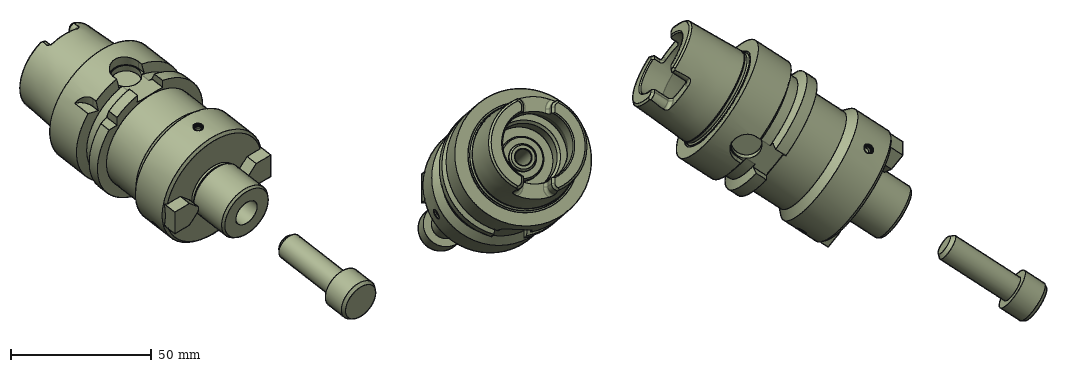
import cadquery as cq
import math


TAPER_NOSE_RADIUS = 18.0
TAPER_LARGE_RADIUS = 19.1
TAPER_END = 23.0
NOSE_CHAMFER_LENGTH = 0.7
NOSE_CHAMFER_HEIGHT = 0.8
NECK_RADIUS = 18.8
NECK_START = 23.5
NECK_END = 24.5
FACE_GROOVE_INNER_RADIUS = 19.5
FACE_GROOVE_OUTER_RADIUS = 20.1
FACE_GROOVE_DEPTH = 0.5

FLANGE_DIAMETER = 50.0
FLANGE_RADIUS = FLANGE_DIAMETER / 2
FLANGE_START = 24.9
FLANGE_END = 50.8
GROOVE_RADIUS = 21.5
GROOVE_START = 39.5
GROOVE_END = 46.4
GROOVE_SIDE_LENGTH = 1.5

BODY_DIAMETER = 41.4
BODY_RADIUS = BODY_DIAMETER / 2
BODY_END = 66.8
HEAD_RADIUS = 23.6
HEAD_START = 69.8
HEAD_END = 85.3
HEAD_CHAMFER = 1.0
SPIGOT_DIAMETER = 22.0
SPIGOT_RADIUS = SPIGOT_DIAMETER / 2
SPIGOT_END = 103.1
SPIGOT_CHAMFER_LENGTH = 1.0
SPIGOT_CHAMFER_HEIGHT = 0.7
RELIEF_RADIUS = 10.4
RELIEF_END = 86.3
RELIEF_CONE_LENGTH = 0.8

BORE_RADIUS = 12.9
BORE_MOUTH_RADIUS = 13.4
BORE_MOUTH_DEPTH = 0.5
UNDERCUT_START = 9.5
UNDERCUT_RADIUS = 15.3
UNDERCUT_END = 21.5
INNER_BORE_RADIUS = 11.9
INNER_BORE_END = 29.7
BOSS_DIAMETER = 16.0
BOSS_RADIUS = BOSS_DIAMETER / 2
BOSS_CHAMFER = 0.5
BOSS_HEIGHT = 3.3
BOSS_TIP_DIAMETER = 10.0
BOSS_TIP_RADIUS = BOSS_TIP_DIAMETER / 2
BOSS_TIP_CHAMFER = 0.7
BOSS_TIP_HEIGHT = 1.6

PASSAGE_MOUTH_DIAMETER = 6.5
PASSAGE_DIAMETER = 6.0
SPIGOT_HOLE_DEPTH = 33.0

NOSE_SLOT_HALF_WIDTH = 5.1
NOSE_SLOT_FLARE_RADIUS = 2.6
NOSE_SLOT_FLARE_START = 13.9
NOSE_SLOT_CORNER_RADIUS = 1.4
NOSE_SLOT_RIM_CHAMFER = 1.0
UPPER_NOSE_SLOT_DEPTH = 4.6
LOWER_NOSE_SLOT_DEPTH = 8.2

KEYWAY_WIDTH = 11.9
KEYWAY_FLOOR = 21.0
KEYWAY_END_CENTER = 37.8
POCKET_DIAMETER = 11.0
POCKET_DEPTH = 2.6
NOTCH_CORNER = 15.7

RADIAL_HOLE_COUNT = 3
RADIAL_HOLE_X = 76.9
RADIAL_HOLE_MOUTH_DIAMETER = 4.0
RADIAL_HOLE_DIAMETER = 3.5
RADIAL_HOLE_DEPTH = 0.8
SOCKET_MOUTH_DIAMETER = 3.0
SOCKET_DIAMETER = 2.5
SOCKET_DEPTH = 1.3
SOCKET_POINT_DEPTH = 0.7

KEY_WIDTH = 10.5
KEY_LENGTH = 5.0
KEY_OUTER_REACH = 22.8
KEY_INNER_REACH = 11.5
KEY_BEVEL = 4.3
KEY_EMBED = 1.3

SCREW_TIP = 124.9
SCREW_DIAMETER = 10.0
SCREW_TIP_DIAMETER = 7.6
SCREW_TIP_LENGTH = 1.5
SCREW_HEAD_DIAMETER = 16.0
SCREW_HEAD_START = 155.0
SCREW_END = 165.0
SCREW_HEAD_CHAMFER_LENGTH = 1.3
SCREW_HEAD_CHAMFER_HEIGHT = 0.8

CUT_MARGIN = 3.3


def turned(profile):
    """Revolve a closed (x, radius) outline about the X axis."""
    return cq.Workplane("XY").polyline(profile).close().revolve(360, (0, 0, 0), (1, 0, 0))


def holder_blank():
    return turned([
        (0, 0),
        (0, TAPER_NOSE_RADIUS - NOSE_CHAMFER_HEIGHT),
        (NOSE_CHAMFER_LENGTH, TAPER_NOSE_RADIUS),
        (TAPER_END, TAPER_LARGE_RADIUS),
        (NECK_START, NECK_RADIUS),
        (NECK_END, NECK_RADIUS),
        (FLANGE_START, FACE_GROOVE_INNER_RADIUS),
        (FLANGE_START + FACE_GROOVE_DEPTH, FACE_GROOVE_INNER_RADIUS),
        (FLANGE_START + FACE_GROOVE_DEPTH, FACE_GROOVE_OUTER_RADIUS),
        (FLANGE_START, FACE_GROOVE_OUTER_RADIUS),
        (FLANGE_START, FLANGE_RADIUS),
        (GROOVE_START, FLANGE_RADIUS),
        (GROOVE_START + GROOVE_SIDE_LENGTH, GROOVE_RADIUS),
        (GROOVE_END - GROOVE_SIDE_LENGTH, GROOVE_RADIUS),
        (GROOVE_END, FLANGE_RADIUS),
        (FLANGE_END, FLANGE_RADIUS),
        (FLANGE_END, BODY_RADIUS),
        (BODY_END, BODY_RADIUS),
        (HEAD_START, HEAD_RADIUS),
        (HEAD_END - HEAD_CHAMFER, HEAD_RADIUS),
        (HEAD_END, HEAD_RADIUS - HEAD_CHAMFER),
        (HEAD_END, RELIEF_RADIUS),
        (RELIEF_END, RELIEF_RADIUS),
        (RELIEF_END + RELIEF_CONE_LENGTH, SPIGOT_RADIUS),
        (SPIGOT_END - SPIGOT_CHAMFER_LENGTH, SPIGOT_RADIUS),
        (SPIGOT_END, SPIGOT_RADIUS - SPIGOT_CHAMFER_HEIGHT),
        (SPIGOT_END, 0),
    ])


def bore():
    """Space inside the holder, from the clamping bore to the screw hole in the spigot."""
    boss_face = INNER_BORE_END - BOSS_HEIGHT
    tip_face = boss_face - BOSS_TIP_HEIGHT
    passage_mouth_radius = PASSAGE_MOUTH_DIAMETER / 2
    passage_radius = PASSAGE_DIAMETER / 2
    spigot_hole_floor = SPIGOT_END - SPIGOT_HOLE_DEPTH
    return turned([
        (0, 0),
        (0, BORE_MOUTH_RADIUS),
        (BORE_MOUTH_DEPTH, BORE_RADIUS),
        (UNDERCUT_START, BORE_RADIUS),
        (UNDERCUT_END, UNDERCUT_RADIUS),
        (UNDERCUT_END, BORE_RADIUS),
        (UNDERCUT_END + BORE_RADIUS - INNER_BORE_RADIUS, INNER_BORE_RADIUS),
        (INNER_BORE_END, INNER_BORE_RADIUS),
        (INNER_BORE_END, BOSS_RADIUS),
        (boss_face + BOSS_CHAMFER, BOSS_RADIUS),
        (boss_face, BOSS_RADIUS - BOSS_CHAMFER),
        (boss_face, BOSS_TIP_RADIUS),
        (tip_face + BOSS_TIP_CHAMFER, BOSS_TIP_RADIUS),
        (tip_face, BOSS_TIP_RADIUS - BOSS_TIP_CHAMFER),
        (tip_face, passage_mouth_radius),
        (tip_face + passage_mouth_radius - passage_radius, passage_radius),
        (spigot_hole_floor, passage_radius),
        (spigot_hole_floor, SCREW_DIAMETER / 2),
        (SPIGOT_END, SCREW_DIAMETER / 2),
        (SPIGOT_END, 0),
    ])


def nose_slot_outline(growth):
    """Cross-section of a nose slot on the +Z side, with its walls moved outward by growth."""
    wall = NOSE_SLOT_HALF_WIDTH + growth
    flare = NOSE_SLOT_FLARE_RADIUS - growth
    flare_top = NOSE_SLOT_FLARE_START + flare
    flare_mid_y = wall + flare * (1 - math.sqrt(0.5))
    flare_mid_z = NOSE_SLOT_FLARE_START + flare * math.sqrt(0.5)
    slot_top = TAPER_LARGE_RADIUS + CUT_MARGIN
    return (
        cq.Workplane("YZ")
        .moveTo(-wall, 0)
        .lineTo(wall, 0)
        .lineTo(wall, NOSE_SLOT_FLARE_START)
        .threePointArc((flare_mid_y, flare_mid_z), (wall + flare, flare_top))
        .lineTo(wall + flare, slot_top)
        .lineTo(-wall - flare, slot_top)
        .lineTo(-wall - flare, flare_top)
        .threePointArc((-flare_mid_y, flare_mid_z), (-wall, NOSE_SLOT_FLARE_START))
        .close()
    )


def nose_slot(depth):
    """Nose slot with flared walls, rounded corners at its floor and a chamfered rim."""
    slot = (
        nose_slot_outline(0)
        .extrude(depth)
        .faces(">X")
        .edges("not |Y")
        .fillet(NOSE_SLOT_CORNER_RADIUS)
    )
    rim_wire = nose_slot_outline(NOSE_SLOT_RIM_CHAMFER).val()
    rim_end_wire = nose_slot_outline(0).val().translate(cq.Vector(NOSE_SLOT_RIM_CHAMFER, 0, 0))
    rim = cq.Solid.makeLoft([rim_wire, rim_end_wire], True)
    return slot.union(cq.Workplane(rim))


def round_ended_slot(center_y, floor_z):
    """Slot milled downward to floor_z, from its round end out through the +X side of the flange."""
    straight_length = FLANGE_END - KEYWAY_END_CENTER
    height = FLANGE_RADIUS + CUT_MARGIN - floor_z
    floor = cq.Workplane("XY").workplane(offset=floor_z)
    round_end = floor.center(KEYWAY_END_CENTER, center_y).circle(KEYWAY_WIDTH / 2).extrude(height)
    straight = (
        floor.center(KEYWAY_END_CENTER + straight_length / 2, center_y)
        .rect(straight_length, KEYWAY_WIDTH)
        .extrude(height)
    )
    return round_end.union(straight)


def keyway():
    pocket = (
        cq.Workplane("XY")
        .workplane(offset=KEYWAY_FLOOR - POCKET_DEPTH)
        .center(KEYWAY_END_CENTER, 0)
        .circle(POCKET_DIAMETER / 2)
        .extrude(POCKET_DEPTH)
    )
    return round_ended_slot(0, KEYWAY_FLOOR).union(pocket)


def orientation_notch():
    return round_ended_slot(-NOTCH_CORNER - KEYWAY_WIDTH / 2, NOTCH_CORNER)


def radial_hole():
    """Chamfered hole entering the head from +Z, with a smaller pointed socket in its floor."""
    mouth_radius = RADIAL_HOLE_MOUTH_DIAMETER / 2
    hole_radius = RADIAL_HOLE_DIAMETER / 2
    socket_mouth_radius = SOCKET_MOUTH_DIAMETER / 2
    socket_radius = SOCKET_DIAMETER / 2
    hole_floor = HEAD_RADIUS - RADIAL_HOLE_DEPTH
    socket_floor = hole_floor - SOCKET_DEPTH
    return (
        cq.Workplane("XZ")
        .polyline([
            (0, HEAD_RADIUS + CUT_MARGIN),
            (mouth_radius, HEAD_RADIUS + CUT_MARGIN),
            (mouth_radius, HEAD_RADIUS),
            (hole_radius, HEAD_RADIUS - (mouth_radius - hole_radius)),
            (hole_radius, hole_floor),
            (socket_mouth_radius, hole_floor),
            (socket_radius, hole_floor - (socket_mouth_radius - socket_radius)),
            (socket_radius, socket_floor),
            (0, socket_floor - SOCKET_POINT_DEPTH),
        ])
        .close()
        .revolve(360, (0, 0, 0), (0, 1, 0))
        .translate((RADIAL_HOLE_X, 0, 0))
    )


def drive_key():
    """Key on the +Y side of the head face; both corners of its inner end are bevelled."""
    half_width = KEY_WIDTH / 2
    shoulder = KEY_INNER_REACH + KEY_BEVEL
    inner_half_width = half_width - KEY_BEVEL
    return (
        cq.Workplane("YZ")
        .workplane(offset=HEAD_END - KEY_EMBED)
        .polyline([
            (KEY_INNER_REACH, -inner_half_width),
            (KEY_INNER_REACH, inner_half_width),
            (shoulder, half_width),
            (KEY_OUTER_REACH, half_width),
            (KEY_OUTER_REACH, -half_width),
            (shoulder, -half_width),
        ])
        .close()
        .extrude(KEY_LENGTH + KEY_EMBED)
    )


def about_axis(shape, angle):
    return shape.rotate((0, 0, 0), (1, 0, 0), angle)


def make_holder():
    holder = holder_blank()
    for angle in (0, 180):
        holder = holder.union(about_axis(drive_key(), angle))
        holder = holder.cut(about_axis(keyway(), angle))
    holder = holder.cut(bore())
    holder = holder.cut(nose_slot(UPPER_NOSE_SLOT_DEPTH))
    holder = holder.cut(about_axis(nose_slot(LOWER_NOSE_SLOT_DEPTH), 180))
    holder = holder.cut(orientation_notch())
    for index in range(RADIAL_HOLE_COUNT):
        holder = holder.cut(about_axis(radial_hole(), index * 360 / RADIAL_HOLE_COUNT))
    return holder


def make_screw():
    head_radius = SCREW_HEAD_DIAMETER / 2
    return turned([
        (SCREW_TIP, 0),
        (SCREW_TIP, SCREW_TIP_DIAMETER / 2),
        (SCREW_TIP + SCREW_TIP_LENGTH, SCREW_DIAMETER / 2),
        (SCREW_HEAD_START, SCREW_DIAMETER / 2),
        (SCREW_HEAD_START, head_radius),
        (SCREW_END - SCREW_HEAD_CHAMFER_LENGTH, head_radius),
        (SCREW_END, head_radius - SCREW_HEAD_CHAMFER_HEIGHT),
        (SCREW_END, 0),
    ])


holder = make_holder()
screw = make_screw()
result = cq.Compound.makeCompound([holder.val(), screw.val()])